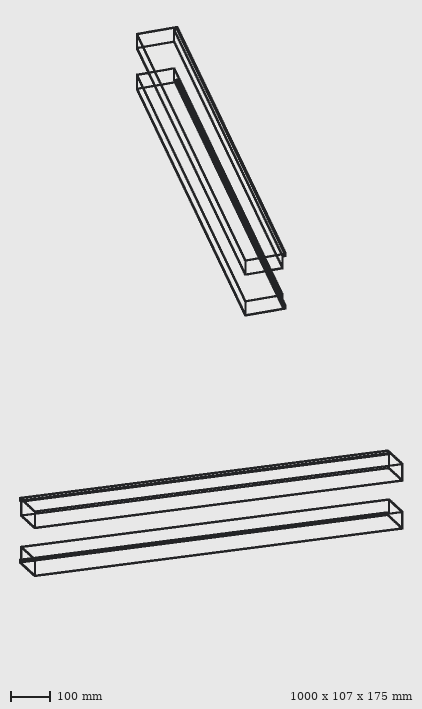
import cadquery as cq

LENGTH = 1000.0
BODY_WIDTH = 99.0
LIP_REACH = 8.0
LIP_THICKNESS = 7.25
RAIL_HEIGHT = 45.0
TOTAL_HEIGHT = 175.0

TOTAL_WIDTH = BODY_WIDTH + LIP_REACH
FRONT_Y = -TOTAL_WIDTH / 2
BODY_BACK_Y = FRONT_Y + BODY_WIDTH
LIP_BACK_Y = BODY_BACK_Y + LIP_REACH


def make_rail(side):
    """Rail above (side = 1) or below (side = -1) the mid-height plane, lip on its outer face."""
    outer_z = side * TOTAL_HEIGHT / 2
    lip_z = outer_z - side * LIP_THICKNESS
    inner_z = outer_z - side * RAIL_HEIGHT
    profile = [
        (FRONT_Y, inner_z),
        (BODY_BACK_Y, inner_z),
        (BODY_BACK_Y, lip_z),
        (LIP_BACK_Y, lip_z),
        (LIP_BACK_Y, outer_z),
        (FRONT_Y, outer_z),
    ]
    return cq.Workplane("YZ").polyline(profile).close().extrude(LENGTH / 2, both=True)


rails = [make_rail(side).val() for side in (1, -1)]

result = cq.Compound.makeCompound(rails)